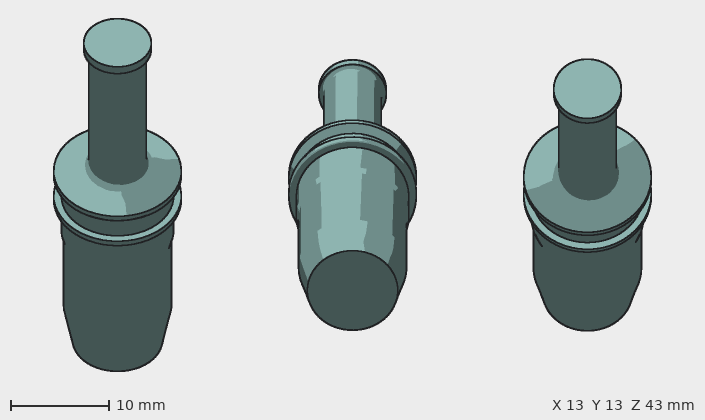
import cadquery as cq
import math

height = 43.0

head_radius = 6.9 / 2
shaft_radius = 5.9 / 2
flange_radius = 13.0 / 2
upper_body_radius = 11.45 / 2
lower_body_radius = 11.0 / 2
tip_radius = 9.2 / 2

taper_top = 5.0
step_bottom = 15.0
step_top = 15.8
ring_bottom = 20.05
ring_top = 20.8
collar_rim_bottom = 23.8
collar_rim_top = 24.42
head_thickness = 1.0

ring_fillet = 0.2
shoulder_angle = math.radians(15)
shoulder_fillet = 1.0

collar_bottom = collar_rim_bottom - (flange_radius - upper_body_radius)

head_bottom = height - head_thickness
head_fillet = head_radius - shaft_radius

fillet_center_radius = shaft_radius + shoulder_fillet
shoulder_radius = fillet_center_radius - shoulder_fillet * math.sin(shoulder_angle)
shoulder_top = collar_rim_top + (flange_radius - shoulder_radius) * math.tan(shoulder_angle)
shaft_bottom = shoulder_top + shoulder_fillet * math.cos(shoulder_angle)


def point_on_arc(center_radius, center_height, arc_radius, angle):
    """Return the profile point of an arc at an angle from the radial axis."""
    return (
        center_radius + arc_radius * math.cos(angle),
        center_height + arc_radius * math.sin(angle),
    )


shoulder_mid_angle = math.pi + (math.pi / 2 - shoulder_angle) / 2
shoulder_arc_middle = point_on_arc(
    fillet_center_radius, shaft_bottom, shoulder_fillet, shoulder_mid_angle
)
head_arc_middle = point_on_arc(
    head_radius, head_bottom - head_fillet, head_fillet, math.radians(135)
)
ring_arc_middle = point_on_arc(
    flange_radius - ring_fillet, ring_bottom + ring_fillet, ring_fillet, math.radians(-45)
)

profile = (
    cq.Workplane("XZ")
    .moveTo(0, 0)
    .lineTo(tip_radius, 0)
    .lineTo(lower_body_radius, taper_top)
    .lineTo(lower_body_radius, step_bottom)
    .lineTo(upper_body_radius, step_top)
    .lineTo(upper_body_radius, ring_bottom)
    .lineTo(flange_radius - ring_fillet, ring_bottom)
    .threePointArc(ring_arc_middle, (flange_radius, ring_bottom + ring_fillet))
    .lineTo(flange_radius, ring_top)
    .lineTo(upper_body_radius, ring_top)
    .lineTo(upper_body_radius, collar_bottom)
    .lineTo(flange_radius, collar_rim_bottom)
    .lineTo(flange_radius, collar_rim_top)
    .lineTo(shoulder_radius, shoulder_top)
    .threePointArc(shoulder_arc_middle, (shaft_radius, shaft_bottom))
    .lineTo(shaft_radius, head_bottom - head_fillet)
    .threePointArc(head_arc_middle, (head_radius, head_bottom))
    .lineTo(head_radius, height)
    .lineTo(0, height)
    .close()
)

result = profile.revolve(360, (0, 0, 0), (0, 1, 0))